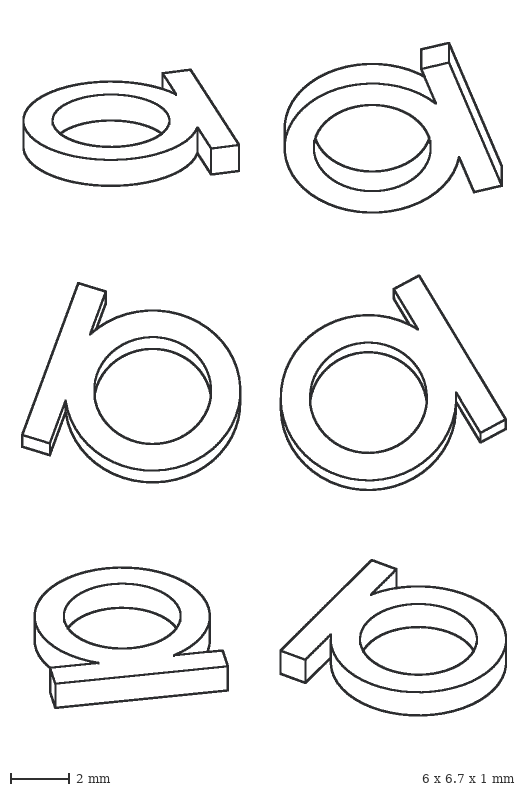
import cadquery as cq

total_length = 6.7
ring_diameter = 6.0
hole_diameter = 4.0
thickness = 1.0
bar_width = 1.0

bar_length = ring_diameter
bar_center_y = total_length - ring_diameter / 2 - bar_width / 2


def make_disc(diameter):
    return cq.Workplane("XY").circle(diameter / 2).extrude(thickness)


def make_bar():
    return (
        cq.Workplane("XY")
        .center(0, bar_center_y)
        .rect(bar_length, bar_width)
        .extrude(thickness)
    )


result = make_disc(ring_diameter).union(make_bar()).cut(make_disc(hole_diameter))